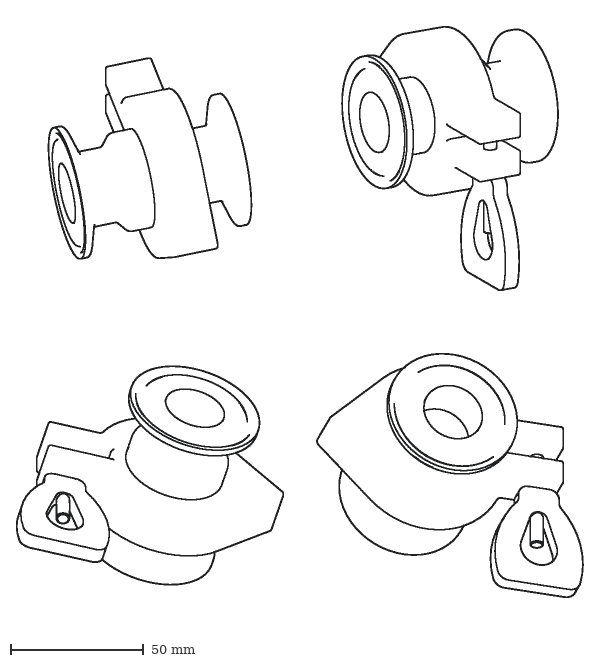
import cadquery as cq
import math


ring_radius = 31.0
clamp_width = 18.0
clamp_edge_fillet = 1.0
tip_fillet = 2.1
ring_to_arm_fillet = 2.0

arm_outer_z = 12.5
slot_half_height = 2.48
slot_end_x = -24.5

front_end_y = -38.0
rear_end_y = 27.0
bore_diameter = 23.0
neck_diameter = 29.0
body_diameter = 38.0
flange_diameter = 50.5
flange_rim_thickness = 2.8
flange_cone_angle = 20
flange_rim_fillet = 0.7
flange_neck_fillet = 2.0
body_end_y = -17.3
body_cone_length = 3.8
body_fillet = 2.0

groove_centre_radius = 21.8
groove_depth = 1.6
groove_bottom_radius = 1.2
groove_lip_radius = 0.8

screw_diameter = 5.0
screw_x = -41.0
screw_end_z = -35.8
screw_end_chamfer = 0.4

handle_thickness = 6.0
handle_bottom_z = -54.9
head_half_width = 8.0
head_corner_radius = 3.9
head_to_wing_fillet = 2.8
wing_half_width = 17.3
wing_widest_z = -42.9
wing_side_radius = 35.0
wing_corner_radius = 4.6

window_large_radius = 7.2
window_large_z = -38.9
window_small_radius = 3.4
window_small_z = -26.4

arm_end_x = screw_x - head_half_width


def make_clamp():
    arm_root_x = -math.sqrt(ring_radius**2 - arm_outer_z**2)
    tangent = ring_radius * math.sqrt(0.5)
    tip_x = ring_radius * math.sqrt(2)
    body = (
        cq.Workplane("XZ", origin=(0, clamp_width / 2, 0))
        .moveTo(arm_end_x, arm_outer_z)
        .lineTo(arm_root_x, arm_outer_z)
        .threePointArc((0, ring_radius), (tangent, tangent))
        .lineTo(tip_x, 0)
        .lineTo(tangent, -tangent)
        .threePointArc((0, -ring_radius), (arm_root_x, -arm_outer_z))
        .lineTo(arm_end_x, -arm_outer_z)
        .close()
        .extrude(clamp_width)
    )
    for side in (1, -1):
        root = cq.selectors.NearestToPointSelector((arm_root_x, 0, side * arm_outer_z))
        body = body.edges(root).fillet(ring_to_arm_fillet)
    body = body.edges(cq.selectors.NearestToPointSelector((tip_x, 0, 0))).fillet(tip_fillet)

    slot_length = slot_end_x - arm_end_x
    slot = cq.Workplane("XY").box(slot_length, clamp_width, 2 * slot_half_height)
    body = body.cut(slot.translate((arm_end_x + slot_length / 2, 0, 0)))

    return body.faces("<Y or >Y or <X").edges().fillet(clamp_edge_fillet)


def revolve_about_y(profile):
    return profile.close().revolve(360, (0, 0, 0), (0, 1, 0))


def round_circle(solid, radius, y, fillet):
    """Fillet the circular edge of the given radius about the Y axis at position y."""
    margin = 0.05
    edges = [
        edge
        for edge in solid.edges("%CIRCLE").vals()
        if abs(edge.radius() - radius) < margin and abs(edge.Center().y - y) < margin
    ]
    return solid.newObject(edges).fillet(fillet)


def make_fitting():
    neck_radius = neck_diameter / 2
    body_radius = body_diameter / 2
    flange_radius = flange_diameter / 2
    cone_length = (flange_radius - neck_radius) * math.tan(math.radians(flange_cone_angle))
    front_rim_y = front_end_y + flange_rim_thickness
    rear_rim_y = rear_end_y - flange_rim_thickness
    front_neck_y = front_rim_y + cone_length
    rear_neck_y = rear_rim_y - cone_length
    body_neck_y = body_end_y - body_cone_length
    fitting = revolve_about_y(
        cq.Workplane("XY")
        .moveTo(0, front_end_y)
        .lineTo(flange_radius, front_end_y)
        .lineTo(flange_radius, front_rim_y)
        .lineTo(neck_radius, front_neck_y)
        .lineTo(neck_radius, body_neck_y)
        .lineTo(body_radius, body_end_y)
        .lineTo(body_radius, 0)
        .lineTo(neck_radius, 0)
        .lineTo(neck_radius, rear_neck_y)
        .lineTo(flange_radius, rear_rim_y)
        .lineTo(flange_radius, rear_end_y)
        .lineTo(0, rear_end_y)
    )
    for rim_y, neck_y in ((front_rim_y, front_neck_y), (rear_rim_y, rear_neck_y)):
        fitting = round_circle(fitting, flange_radius, rim_y, flange_rim_fillet)
        fitting = round_circle(fitting, neck_radius, neck_y, flange_neck_fillet)
    fitting = round_circle(fitting, body_radius, body_end_y, body_fillet)
    return round_circle(fitting, neck_radius, body_neck_y, body_fillet)


def make_groove(face_y, inward):
    """Gasket groove: a round bottom blending tangentially into two rounded lips."""
    lip_y = face_y + inward * groove_lip_radius
    bottom_centre_y = face_y + inward * (groove_depth - groove_bottom_radius)
    centre_distance = groove_bottom_radius + groove_lip_radius
    centre_rise = groove_lip_radius + groove_bottom_radius - groove_depth
    half_width = math.sqrt(centre_distance**2 - centre_rise**2)
    blend_x = half_width * groove_bottom_radius / centre_distance
    blend_y = bottom_centre_y + inward * centre_rise * groove_bottom_radius / centre_distance
    lip_turn = (math.pi / 2 - math.asin(centre_rise / centre_distance)) / 2
    lip_x = half_width - groove_lip_radius * math.sin(lip_turn)
    lip_mid_y = lip_y - inward * groove_lip_radius * math.cos(lip_turn)
    middle = groove_centre_radius
    return revolve_about_y(
        cq.Workplane("XY")
        .moveTo(middle - half_width, face_y)
        .threePointArc((middle - lip_x, lip_mid_y), (middle - blend_x, blend_y))
        .threePointArc((middle, face_y + inward * groove_depth), (middle + blend_x, blend_y))
        .threePointArc((middle + lip_x, lip_mid_y), (middle + half_width, face_y))
    )


def make_bore(face_y, inward):
    """Blind bore from a flange face to the near face of the clamp."""
    bore = cq.Workplane("XZ", origin=(0, face_y, 0)).circle(bore_diameter / 2)
    depth = abs(face_y) - clamp_width / 2
    return bore.extrude(-inward * depth)


def make_screw():
    screw = cq.Workplane("XY", origin=(screw_x, 0, screw_end_z)).circle(screw_diameter / 2)
    length = arm_outer_z - clamp_edge_fillet - screw_end_z
    return screw.extrude(length).faces("<Z").chamfer(screw_end_chamfer)


def make_window():
    """Teardrop: two circles joined by their outer tangents."""
    rise = window_small_z - window_large_z
    sine = (window_large_radius - window_small_radius) / rise
    cosine = math.sqrt(1 - sine**2)
    small_x = window_small_radius * cosine
    small_z = window_small_z + window_small_radius * sine
    large_x = window_large_radius * cosine
    large_z = window_large_z + window_large_radius * sine
    return (
        cq.Workplane("XZ", origin=(screw_x, handle_thickness / 2, 0))
        .moveTo(-small_x, small_z)
        .threePointArc((0, window_small_z + window_small_radius), (small_x, small_z))
        .lineTo(large_x, large_z)
        .threePointArc((0, window_large_z - window_large_radius), (-large_x, large_z))
        .close()
        .extrude(handle_thickness)
    )


def make_handle():
    head_top_z = -arm_outer_z
    side_centre_x = wing_half_width - wing_side_radius
    wing_foot_x = side_centre_x + math.sqrt(wing_side_radius**2 - (handle_bottom_z - wing_widest_z) ** 2)
    wing_top_z = wing_widest_z + math.sqrt(wing_side_radius**2 - (head_half_width - side_centre_x) ** 2)
    handle = (
        cq.Workplane("XZ", origin=(screw_x, handle_thickness / 2, 0))
        .moveTo(-head_half_width, head_top_z)
        .lineTo(head_half_width, head_top_z)
        .lineTo(head_half_width, wing_top_z)
        .threePointArc((wing_half_width, wing_widest_z), (wing_foot_x, handle_bottom_z))
        .lineTo(-wing_foot_x, handle_bottom_z)
        .threePointArc((-wing_half_width, wing_widest_z), (-head_half_width, wing_top_z))
        .close()
        .extrude(handle_thickness)
    )
    corners = (
        (head_half_width, head_top_z, head_corner_radius),
        (head_half_width, wing_top_z, head_to_wing_fillet),
        (wing_foot_x, handle_bottom_z, wing_corner_radius),
    )
    for x, z, radius in corners:
        for side in (1, -1):
            corner = cq.selectors.NearestToPointSelector((screw_x + side * x, 0, z))
            handle = handle.edges(corner).fillet(radius)
    return handle.cut(make_window())


result = make_clamp().union(make_fitting()).union(make_handle()).union(make_screw())
for face_y, inward in ((front_end_y, 1), (rear_end_y, -1)):
    result = result.cut(make_bore(face_y, inward)).cut(make_groove(face_y, inward))